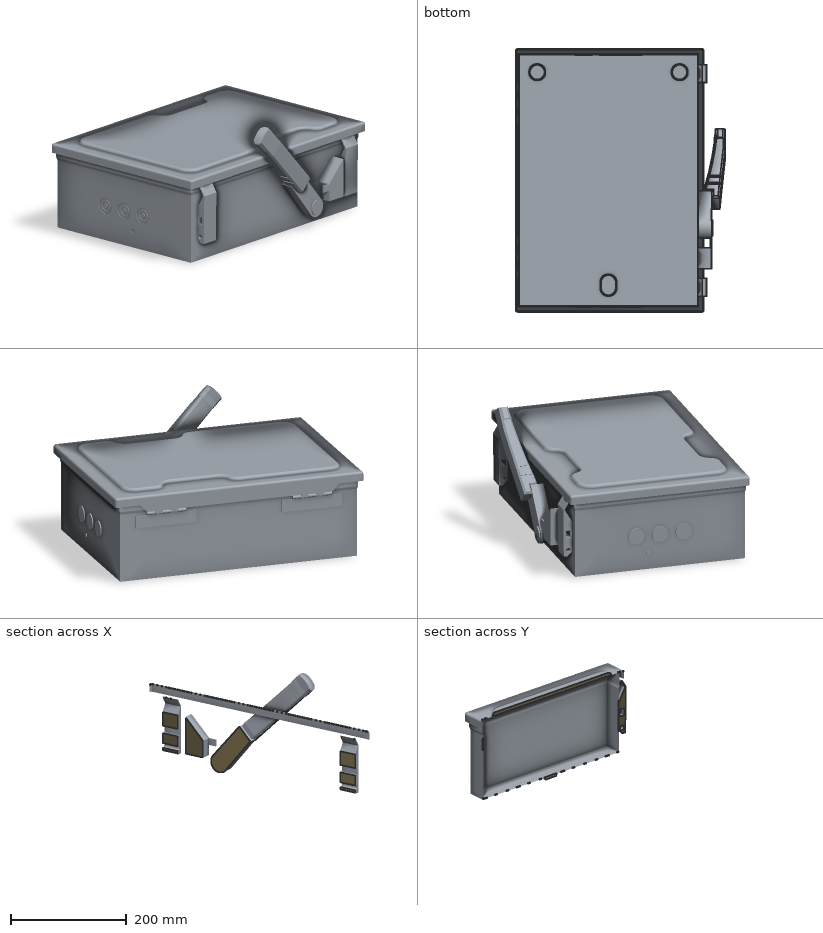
import cadquery as cq
import math

BOX_X = 308.0
BOX_Y = 434.0
SHEET = 2.0
SHOULDER_START_Z = 122.0
SHOULDER_END_Z = 127.0
COLLAR_STEP = 1.5

COVER_LEFT_X = -160.0
COVER_X = 325.0
OVERALL_X = 361.8
COVER_Y = 454.82
COVER_TOP_Z = 153.3
SKIRT_Z = 137.0
COVER_TOP_RADIUS = 4.0
COVER_CORNER_RADIUS = 4.0
COVER_CENTRE_X = COVER_LEFT_X + COVER_X / 2
COVER_UNDERSIDE_Z = COVER_TOP_Z - SHEET

FLAP_Z = 124.0
FLAP_HALF_LENGTH = 170.0
FLAP_SLOPE = SKIRT_Z - FLAP_Z
FLAP_TAB_Z = 119.0
TAB_CLEARANCE = 0.4

PANEL_HEIGHT = 5.2
PANEL_BEVEL_ANGLE = 35
PANEL_EDGE_RADIUS = 4.0
PANEL_HALF_X = 136.3
PANEL_HALF_Y = 200.5
PANEL_CORNER_RADIUS = 26.0
WAIST_HALF_X = 110.0
WAIST_TOP_Y = 108.0
WAIST_BOTTOM_Y = 26.0
WAIST_SHOULDER_Y = 37.0

FOOT_DEPTH = 4.0
FOOT_RADIUS = 14.3
FOOT_TAPER = 22
LOWER_FOOT_X = 123.0
LOWER_FOOT_Y = -187.0
UPPER_FOOT_Y = 181.0
UPPER_FOOT_LENGTH = 38.0

KNOCKOUT_PITCH = 43.0
KNOCKOUT_Z = 62.3
KNOCKOUT_RINGS = ((14.6, 11.2), (7.6, 4.4))
PIP_X = 21.3
PIP_Z = 29.8
PIP_RADIUS = 4.0
EMBOSS = 2.0
RING_DEPTH = 1.0

HINGE_CENTRE_Y = 133.5
LEAF_LENGTH = 111.0
LEAF_BOTTOM_Z = 94.3
LEAF_TOP_Z = 116.5
LEAF_THICKNESS = 1.5
KNUCKLE_RADIUS = 3.0
KNUCKLE_LENGTH = 15.0
KNUCKLE_PITCH = 28.2
KNUCKLE_Z = 120.0
HINGE_PIN_RADIUS = 1.0

LATCH_CENTRE_Y = 184.5
LATCH_WIDTH = 31.5
LATCH_BOTTOM_Z = 33.0
LATCH_SHOULDER_Z = 96.0
LATCH_BEND_Z = 119.5
LATCH_HOOK_Z = 134.0
LATCH_HOOK_X = 158.5
LATCH_FACE_X = 169.0
LATCH_BEND_X = 170.0
LATCH_STRIP = 2.5
LATCH_CHAMFER = 8.0
LATCH_SLOT_X = 160.8
LATCH_SLOT_Z = 73.7
LATCH_SLOT_WIDTH = 8.5
LATCH_SLOT_HEIGHT = 12.5
LATCH_HOLE_Z = 44.4
LATCH_HOLE_RADIUS = 4.0

HANDLE_ANGLE = 45
HANDLE_ORIGIN_Y = 64.0
HANDLE_ORIGIN_Z = 64.0
HANDLE_START = 33.5
HANDLE_STEP = 49.0
HANDLE_INNER_BEND = 58.0
HANDLE_OUTER_BEND = 156.0
GRIP_START = 178.0
HANDLE_END = 199.6
HANDLE_TIP = 204.0
NECK_WIDTH = 33.0
GRIP_WIDTH = 35.5
HANDLE_OUTER_X = COVER_LEFT_X + OVERALL_X
HANDLE_TIP_THICKNESS = 17.3
HANDLE_INNER_X = 166.0
HANDLE_START_X = 192.5
HANDLE_BOW = 1.8
GRIP_STEP = 1.2
GRIP_BEVEL_START = 190.0
HANDLE_CHAMFER = 4.5
GROOVE_DEPTH = 1.0
GROOVE_WIDTH = 3.0
GROOVE_STARTS = (66.0, 83.0)

CRANK_BACK_X = 155.5
CRANK_FACE_X = 178.5
CRANK_RADIUS = 17.5
CRANK_END = -33.6
CRANK_OFFSET = -7.4
CRANK_BOSS_RADIUS = 13.5
CRANK_BOSS_HEIGHT = 2.2
BRACKET_PLATE_Y = 70.0
BRACKET_STOP_Y = 116.0
BRACKET_END_Y = 153.0
BRACKET_BOTTOM_Z = 38.0
BRACKET_TOP_Z = 106.0
BRACKET_LOW_Z = BRACKET_TOP_Z - (BRACKET_END_Y - BRACKET_STOP_Y)
BRIDGE_THICKNESS = 2.5
BRIDGE_END_Y = 101.0
BRIDGE_HEIGHT = 12.0


def block(x0, x1, y0, y1, z0, z1):
    return cq.Workplane("XY").box(x1 - x0, y1 - y0, z1 - z0, centered=False).translate((x0, y0, z0))


def centred_block(size_x, size_y, z0, z1):
    return block(-size_x / 2, size_x / 2, -size_y / 2, size_y / 2, z0, z1)


def shouldered_form(shrink, z0, z1):
    """Box with a sloped shoulder out to its wider collar, shrunk all round by a wall."""
    x = BOX_X - 2 * shrink
    y = BOX_Y - 2 * shrink
    grown_x = x + 2 * COLLAR_STEP
    grown_y = y + 2 * COLLAR_STEP
    shoulder = (
        cq.Workplane("XY", origin=(0, 0, SHOULDER_START_Z)).rect(x, y)
        .workplane(offset=SHOULDER_END_Z - SHOULDER_START_Z).rect(grown_x, grown_y)
        .loft(ruled=True)
    )
    lower = centred_block(x, y, z0, SHOULDER_START_Z)
    return lower.union(shoulder).union(centred_block(grown_x, grown_y, SHOULDER_END_Z, z1))


def make_feet():
    back = cq.Workplane("XY").workplane(invert=True)
    lower = (
        back.pushPoints([(-LOWER_FOOT_X, -LOWER_FOOT_Y), (LOWER_FOOT_X, -LOWER_FOOT_Y)])
        .circle(FOOT_RADIUS).extrude(FOOT_DEPTH, taper=FOOT_TAPER)
    )
    upper = (
        back.center(0, -UPPER_FOOT_Y).slot2D(UPPER_FOOT_LENGTH, 2 * FOOT_RADIUS, 90)
        .extrude(FOOT_DEPTH, taper=FOOT_TAPER)
    )
    return lower.union(upper)


def end_disc(y0, y1, x, z, radius):
    """Disc on an end wall, its axis along Y from y0 to y1."""
    return cq.Workplane("XZ", origin=(x, y0, z)).circle(radius).extrude(y0 - y1)


def make_enclosure():
    body = shouldered_form(0, 0, COVER_UNDERSIDE_Z)
    body = body.cut(shouldered_form(SHEET, SHEET, COVER_UNDERSIDE_Z))
    body = body.union(make_feet())
    near_y = -BOX_Y / 2
    far_y = BOX_Y / 2
    for x in (-KNOCKOUT_PITCH, 0, KNOCKOUT_PITCH):
        for outer, inner in KNOCKOUT_RINGS:
            groove = end_disc(near_y, near_y + RING_DEPTH, x, KNOCKOUT_Z, outer)
            groove = groove.cut(end_disc(near_y, near_y + RING_DEPTH, x, KNOCKOUT_Z, inner))
            body = body.cut(groove)
        body = body.union(end_disc(far_y, far_y + EMBOSS, x, KNOCKOUT_Z, KNOCKOUT_RINGS[0][0]))
    body = body.cut(end_disc(near_y, near_y + RING_DEPTH, PIP_X, PIP_Z, PIP_RADIUS))
    return body.union(end_disc(far_y, far_y + EMBOSS, PIP_X, PIP_Z, PIP_RADIUS))


def make_panel():
    """Raised panel: rounded corners, with an S-shaped step into the waist on each side."""
    x, y, r = PANEL_HALF_X, PANEL_HALF_Y, PANEL_CORNER_RADIUS
    w = WAIST_HALF_X
    bulge = r * (1 - math.sqrt(0.5))
    top_a, top_b = WAIST_TOP_Y + WAIST_SHOULDER_Y, WAIST_TOP_Y
    bottom_a, bottom_b = WAIST_BOTTOM_Y, WAIST_BOTTOM_Y - WAIST_SHOULDER_Y
    mid_x = (x + w) / 2

    def s_curve(path, start, end):
        middle = (math.copysign(mid_x, start[0]), (start[1] + end[1]) / 2)
        return path.tangentArcPoint(middle, relative=False).tangentArcPoint(end, relative=False)

    path = cq.Workplane("XY", origin=(COVER_CENTRE_X, 0, COVER_TOP_Z)).moveTo(-x + r, y).lineTo(x - r, y)
    path = path.threePointArc((x - bulge, y - bulge), (x, y - r)).lineTo(x, top_a)
    path = s_curve(path, (x, top_a), (w, top_b)).lineTo(w, bottom_a)
    path = s_curve(path, (w, bottom_a), (x, bottom_b)).lineTo(x, -y + r)
    path = path.threePointArc((x - bulge, -y + bulge), (x - r, -y)).lineTo(-x + r, -y)
    path = path.threePointArc((-x + bulge, -y + bulge), (-x, -y + r)).lineTo(-x, bottom_b)
    path = s_curve(path, (-x, bottom_b), (-w, bottom_a)).lineTo(-w, top_b)
    path = s_curve(path, (-w, top_b), (-x, top_a)).lineTo(-x, y - r)
    path = path.threePointArc((-x + bulge, y - bulge), (-x + r, y)).close()
    panel = path.extrude(PANEL_HEIGHT, taper=PANEL_BEVEL_ANGLE)
    return panel.faces(">Z").edges().fillet(PANEL_EDGE_RADIUS)


def make_cover():
    shell = centred_block(COVER_X, COVER_Y, SKIRT_Z, COVER_TOP_Z).edges("|Z").fillet(COVER_CORNER_RADIUS)
    shell = shell.faces(">Z").edges().fillet(COVER_TOP_RADIUS)
    inside = centred_block(COVER_X - 2 * SHEET, COVER_Y - 2 * SHEET, SKIRT_Z, COVER_UNDERSIDE_Z)
    inside = inside.edges("|Z").fillet(COVER_CORNER_RADIUS - SHEET)
    inside = inside.faces(">Z").edges().fillet(COVER_TOP_RADIUS - SHEET)
    shell = shell.cut(inside).translate((COVER_CENTRE_X, 0, 0))
    flap_top = FLAP_HALF_LENGTH + FLAP_SLOPE
    flap = (
        cq.Workplane("YZ", origin=(COVER_LEFT_X, 0, 0))
        .polyline([(-flap_top, SKIRT_Z), (-FLAP_HALF_LENGTH, FLAP_Z),
                   (FLAP_HALF_LENGTH, FLAP_Z), (flap_top, SKIRT_Z)])
        .close().extrude(SHEET)
    )
    tab_half = (KNUCKLE_PITCH - KNUCKLE_LENGTH - TAB_CLEARANCE) / 2
    for hinge_y in (-HINGE_CENTRE_Y, HINGE_CENTRE_Y):
        for y in (hinge_y - KNUCKLE_PITCH / 2, hinge_y + KNUCKLE_PITCH / 2):
            tab = block(COVER_LEFT_X, COVER_LEFT_X + SHEET, y - tab_half, y + tab_half, FLAP_TAB_Z, FLAP_Z)
            flap = flap.union(tab)
    return shell.union(flap).union(make_panel())


def make_hinge(centre_y):
    wall_x = -BOX_X / 2
    half = LEAF_LENGTH / 2
    leaf_x = wall_x - LEAF_THICKNESS
    hinge = block(leaf_x, wall_x, centre_y - half, centre_y + half, LEAF_BOTTOM_Z, LEAF_TOP_Z)
    knuckle_x = wall_x - KNUCKLE_RADIUS

    def barrel(radius, length, y):
        end = cq.Workplane("XZ", origin=(knuckle_x, y + length / 2, KNUCKLE_Z))
        return end.circle(radius).extrude(length)

    hinge = hinge.union(barrel(HINGE_PIN_RADIUS, 2 * KNUCKLE_PITCH, centre_y))
    for step in (-1, 0, 1):
        y = centre_y + step * KNUCKLE_PITCH
        hinge = hinge.union(barrel(KNUCKLE_RADIUS, KNUCKLE_LENGTH, y))
        neck = block(leaf_x, wall_x, y - KNUCKLE_LENGTH / 2, y + KNUCKLE_LENGTH / 2, LEAF_TOP_Z, KNUCKLE_Z)
        hinge = hinge.union(neck)
    return hinge


def make_latch(centre_y):
    """Body against the wall, with a bent strip on top that hooks in under the cover's edge."""
    wall_x = BOX_X / 2
    plane = cq.Workplane("XZ", origin=(0, centre_y + LATCH_WIDTH / 2, 0))
    outline = [
        (wall_x, LATCH_BOTTOM_Z + LATCH_CHAMFER),
        (wall_x + LATCH_CHAMFER, LATCH_BOTTOM_Z),
        (LATCH_FACE_X, LATCH_BOTTOM_Z),
        (LATCH_BEND_X, LATCH_BEND_Z),
        (LATCH_HOOK_X + LATCH_STRIP, LATCH_HOOK_Z),
        (LATCH_HOOK_X, LATCH_HOOK_Z),
        (LATCH_BEND_X - LATCH_STRIP, LATCH_BEND_Z),
        (wall_x, LATCH_SHOULDER_Z),
    ]
    latch = plane.polyline(outline).close().extrude(LATCH_WIDTH)
    slot = plane.center(LATCH_SLOT_X, LATCH_SLOT_Z).rect(LATCH_SLOT_WIDTH, LATCH_SLOT_HEIGHT)
    slot = slot.extrude(LATCH_WIDTH)
    hole = plane.center(LATCH_SLOT_X, LATCH_HOLE_Z).circle(LATCH_HOLE_RADIUS).extrude(LATCH_WIDTH)
    return latch.cut(slot).cut(hole)


def place_on_handle_axis(body):
    """Turn a body built along +Z onto the handle axis."""
    return body.rotate((0, 0, 0), (1, 0, 0), HANDLE_ANGLE).translate((0, HANDLE_ORIGIN_Y, HANDLE_ORIGIN_Z))


def handle_sides():
    """Side outline of the arm: X against distance along the handle axis."""
    tip_x = HANDLE_OUTER_X - HANDLE_TIP_THICKNESS
    neck_end_x = tip_x - GRIP_STEP / 2
    bow_x = (HANDLE_INNER_X + neck_end_x) / 2 + HANDLE_BOW
    bow_height = (HANDLE_INNER_BEND + GRIP_START) / 2
    return (
        cq.Workplane("XZ")
        .moveTo(CRANK_FACE_X, HANDLE_START)
        .lineTo(HANDLE_START_X, HANDLE_START)
        .lineTo(HANDLE_OUTER_X, HANDLE_OUTER_BEND)
        .lineTo(HANDLE_OUTER_X, HANDLE_TIP)
        .lineTo(tip_x, HANDLE_TIP)
        .lineTo(tip_x, GRIP_BEVEL_START)
        .lineTo(neck_end_x - GRIP_STEP, GRIP_START)
        .lineTo(neck_end_x, GRIP_START)
        .threePointArc((bow_x, bow_height), (HANDLE_INNER_X, HANDLE_INNER_BEND))
        .lineTo(HANDLE_INNER_X, HANDLE_STEP)
        .lineTo(CRANK_FACE_X, HANDLE_STEP)
        .close()
    )


def handle_width():
    """Width outline of the arm: a neck and a wider grip with a rounded end."""
    neck = NECK_WIDTH / 2
    grip = GRIP_WIDTH / 2
    return (
        cq.Workplane("YZ")
        .moveTo(-neck, HANDLE_START)
        .lineTo(neck, HANDLE_START)
        .lineTo(neck, GRIP_START - (grip - neck))
        .lineTo(grip, GRIP_START)
        .lineTo(grip, HANDLE_END)
        .threePointArc((0, HANDLE_TIP), (-grip, HANDLE_END))
        .lineTo(-grip, GRIP_START)
        .lineTo(-neck, GRIP_START - (grip - neck))
        .close()
    )


def side_groove(start):
    """Grooves across both narrow sides of the neck."""
    ring = cq.Workplane("XY").box(2 * HANDLE_OUTER_X, 2 * NECK_WIDTH, GROOVE_WIDTH)
    core = cq.Workplane("XY").box(2 * HANDLE_OUTER_X, NECK_WIDTH - 2 * GROOVE_DEPTH, GROOVE_WIDTH)
    return ring.cut(core).translate((0, 0, start + GROOVE_WIDTH / 2))


def make_handle():
    arm = handle_sides().extrude(GRIP_WIDTH / 2, both=True)
    arm = arm.faces("<Y or >Y").chamfer(HANDLE_CHAMFER)
    arm = arm.intersect(handle_width().extrude(HANDLE_OUTER_X))
    for start in GROOVE_STARTS:
        arm = arm.cut(side_groove(start))
    return place_on_handle_axis(arm)


def make_crank():
    """Arm with a round end, running up to the step in the handle."""
    sideways = cq.Workplane("YZ", origin=(CRANK_BACK_X, 0, 0))
    thickness = CRANK_FACE_X - CRANK_BACK_X
    straight = (
        sideways
        .polyline([(CRANK_OFFSET - CRANK_RADIUS, CRANK_END), (CRANK_OFFSET + CRANK_RADIUS, CRANK_END),
                   (NECK_WIDTH / 2, HANDLE_STEP), (-NECK_WIDTH / 2, HANDLE_STEP)])
        .close().extrude(thickness)
    )
    end = sideways.center(CRANK_OFFSET, CRANK_END)
    crank = straight.union(end.circle(CRANK_RADIUS).extrude(thickness))
    crank = crank.union(end.circle(CRANK_BOSS_RADIUS).extrude(thickness + CRANK_BOSS_HEIGHT))
    return place_on_handle_axis(crank)


def make_bracket():
    """Plate on the wall behind the crank, with a sloped stop block beside the crank's end."""
    wall_x = BOX_X / 2
    plate = block(wall_x, CRANK_BACK_X, BRACKET_PLATE_Y, BRACKET_END_Y, BRACKET_BOTTOM_Z, BRACKET_LOW_Z)
    stop = (
        cq.Workplane("YZ", origin=(wall_x, 0, 0))
        .polyline([(BRACKET_STOP_Y, BRACKET_BOTTOM_Z), (BRACKET_END_Y, BRACKET_BOTTOM_Z),
                   (BRACKET_END_Y, BRACKET_TOP_Z), (BRACKET_STOP_Y, BRACKET_LOW_Z)])
        .close().extrude(CRANK_FACE_X - wall_x)
    )
    bridge = block(CRANK_FACE_X - BRIDGE_THICKNESS, CRANK_FACE_X, BRIDGE_END_Y, BRACKET_STOP_Y,
                   BRACKET_LOW_Z - BRIDGE_HEIGHT, BRACKET_LOW_Z)
    return plate.union(stop).union(bridge)


enclosure = make_enclosure()
cover = make_cover()
hinges = [make_hinge(side * HINGE_CENTRE_Y) for side in (-1, 1)]
latches = [make_latch(side * LATCH_CENTRE_Y) for side in (-1, 1)]
handle = make_handle()
crank = make_crank()
bracket = make_bracket()

result = cq.Compound.makeCompound([
    enclosure.val(),
    cover.val(),
    *[hinge.val() for hinge in hinges],
    *[latch.val() for latch in latches],
    handle.val(),
    crank.val(),
    bracket.val(),
])